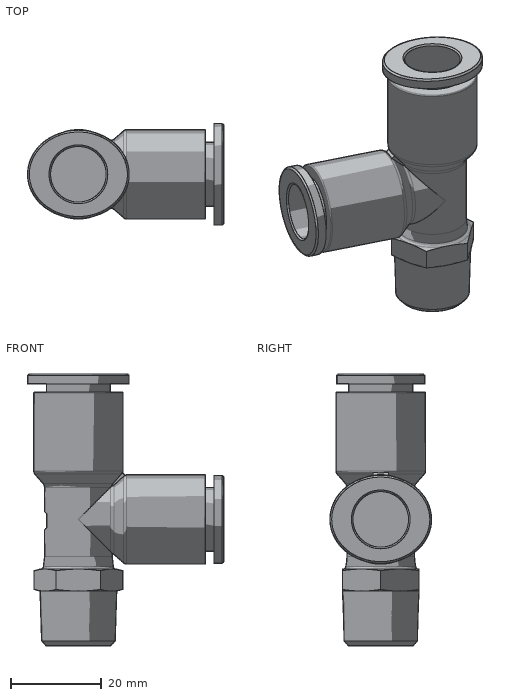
import cadquery as cq
import math

branch_axis_z = 27.95

arm_length = 32.2
flange_length = 22.5
flange_width = 19.5
flange_thickness = 2.25
flange_chamfer = 0.4
neck_radius = 7.1
neck_length = 1.8
socket_radius = 9.9
socket_edge_radius = 0.25
shoulder_top = 10.3
shoulder_bottom = 7.55
shoulder_outer_fillet = 1.0
shoulder_inner_fillet = 1.2
pipe_radius = 7.5
tube_bore_radius = 6.15
tube_bore_depth = 20.0
tube_bore_chamfer = 0.35

web_thickness = 3.4
web_reach = 10.06
web_half_span = 0.4
web_root = 6.5

thread_end_radius = 7.15
thread_chamfer_radius = 8.16
thread_chamfer_height = 1.1
hex_bottom = 12.1
hex_top = 16.95
hex_across_flats = 17.0
hex_chamfer_height = 0.36
thread_taper = 1 / 32

collar_top = 19.7
collar_radius = 7.75
collar_foot_fillet = 0.6

flat_depth = 0.5
flat_height = 3.1
flat_center_z = branch_axis_z - 0.3


def make_shoulder_and_pipe():
    """Socket, conical shoulder and pipe of one arm, standing on the axis crossing."""
    socket_top = arm_length - flange_thickness - neck_length
    profile = (
        cq.Workplane("XZ")
        .polyline([
            (0, 0),
            (pipe_radius, 0),
            (pipe_radius, shoulder_bottom),
            (socket_radius, shoulder_top),
            (socket_radius, socket_top),
            (0, socket_top),
        ])
        .close()
    )
    body = profile.revolve(360, (0, 0, 0), (0, 1, 0))
    body = body.faces(">Z").edges().fillet(socket_edge_radius)
    body = body.edges(edge_at_height(shoulder_top)).fillet(shoulder_outer_fillet)
    return body.edges(edge_at_height(shoulder_bottom)).fillet(shoulder_inner_fillet)


def edge_at_height(height):
    """Selector for the edges lying level at the given height."""
    reach = socket_radius + 1
    margin = 0.01
    return cq.selectors.BoxSelector(
        (-reach, -reach, height - margin), (reach, reach, height + margin), boundingbox=True
    )


def make_release_collar(long_axis_angle):
    """Neck and oval flange of the release collar, with the flange's long axis turned about Z."""
    flange_bottom = arm_length - flange_thickness
    neck = (
        cq.Workplane("XY")
        .workplane(offset=flange_bottom - neck_length)
        .circle(neck_radius)
        .extrude(neck_length)
    )
    flange = (
        cq.Workplane("XY")
        .workplane(offset=flange_bottom)
        .ellipse(flange_length / 2, flange_width / 2)
        .extrude(flange_thickness)
        .faces(">Z")
        .chamfer(flange_chamfer)
        .rotate((0, 0, 0), (0, 0, 1), long_axis_angle)
    )
    return neck.union(flange)


def make_tube_bore():
    """Cutter for the blind tube bore with its chamfered mouth."""
    bore_floor = arm_length - tube_bore_depth
    mouth_radius = tube_bore_radius + tube_bore_chamfer
    profile = (
        cq.Workplane("XZ")
        .polyline([
            (0, bore_floor),
            (tube_bore_radius, bore_floor),
            (tube_bore_radius, arm_length - tube_bore_chamfer),
            (mouth_radius, arm_length),
            (0, arm_length),
        ])
        .close()
    )
    return profile.revolve(360, (0, 0, 0), (0, 1, 0))


def make_corner_web():
    """Flat-sided web lying in the XZ plane, its root and sides buried in both arms."""
    far_end = web_reach + web_half_span
    near_end = web_reach - web_half_span
    return (
        cq.Workplane("XZ")
        .polyline([(web_root, web_root), (far_end, near_end), (near_end, far_end)])
        .close()
        .extrude(web_thickness / 2, both=True)
    )


def place_on_run(shape):
    return shape.translate((0, 0, branch_axis_z))


def place_on_branch(shape):
    return place_on_run(shape.rotate((0, 0, 0), (0, 1, 0), 90))


def make_stem():
    """Tapered thread body, collar with filleted foot and the lower length of the run pipe."""
    thread_top_radius = thread_chamfer_radius + thread_taper * (hex_bottom - thread_chamfer_height)
    collar_bottom = hex_top + collar_foot_fillet
    foot_radius = collar_radius + collar_foot_fillet
    arc_inset = collar_foot_fillet * math.sin(math.radians(45))
    profile = (
        cq.Workplane("XZ")
        .moveTo(0, 0)
        .lineTo(thread_end_radius, 0)
        .lineTo(thread_chamfer_radius, thread_chamfer_height)
        .lineTo(thread_top_radius, hex_bottom)
        .lineTo(foot_radius, hex_top)
        .threePointArc((foot_radius - arc_inset, collar_bottom - arc_inset), (collar_radius, collar_bottom))
        .lineTo(pipe_radius, collar_top)
        .lineTo(pipe_radius, branch_axis_z)
        .lineTo(0, branch_axis_z)
        .close()
    )
    return profile.revolve(360, (0, 0, 0), (0, 1, 0))


def make_hexagon():
    """Hexagon with corners on X and both ends turned down to the across-flats circle."""
    flat_radius = hex_across_flats / 2
    corner_radius = flat_radius / math.cos(math.radians(30))
    prism = (
        cq.Workplane("XY")
        .workplane(offset=hex_bottom)
        .polygon(6, 2 * corner_radius)
        .extrude(hex_top - hex_bottom)
    )
    turned_envelope = (
        cq.Workplane("XZ")
        .polyline([
            (0, hex_bottom),
            (flat_radius, hex_bottom),
            (corner_radius, hex_bottom + hex_chamfer_height),
            (corner_radius, hex_top - hex_chamfer_height),
            (flat_radius, hex_top),
            (0, hex_top),
        ])
        .close()
        .revolve(360, (0, 0, 0), (0, 1, 0))
    )
    return prism.intersect(turned_envelope)


def make_flat_cutter():
    """Cutter for the shallow flat, with its upper and lower ends sloping at 45 degrees."""
    flat_x = flat_depth - pipe_radius
    half_height = flat_height / 2
    outer_half_height = half_height + flat_depth
    return (
        cq.Workplane("XZ")
        .polyline([
            (flat_x, flat_center_z - half_height),
            (flat_x, flat_center_z + half_height),
            (-pipe_radius, flat_center_z + outer_half_height),
            (-pipe_radius, flat_center_z - outer_half_height),
        ])
        .close()
        .extrude(pipe_radius, both=True)
    )


arm_body = make_shoulder_and_pipe()
run_arm = arm_body.union(make_release_collar(0))
branch_arm = arm_body.union(make_release_collar(90))
tube_bore = make_tube_bore()

result = make_stem().union(make_hexagon())
result = result.union(place_on_run(run_arm)).union(place_on_branch(branch_arm))
result = result.union(place_on_run(make_corner_web()))
result = result.cut(place_on_run(tube_bore)).cut(place_on_branch(tube_bore))
result = result.cut(make_flat_cutter())